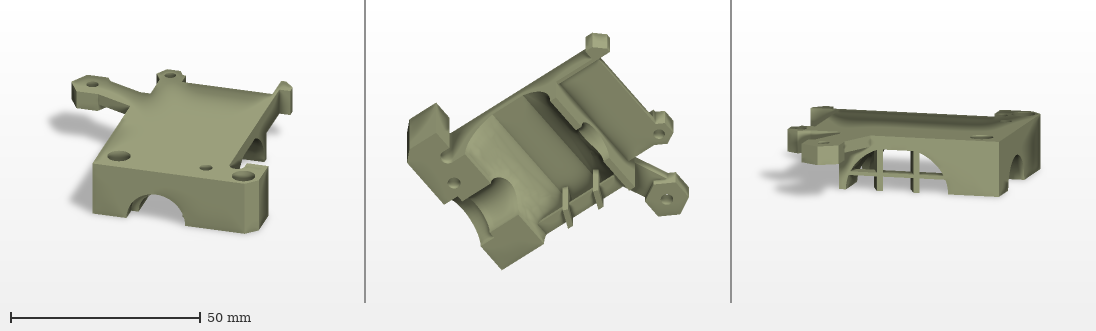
import cadquery as cq
import math

width = 35.0
length = 43.8
height = 14.8
mid_x = width / 2

bore_radius = 6.1
seat_radius = 8.1
seat_depth = 4.5

tunnel_y = 27.9
tunnel_half_width = 14.0
tunnel_half_height = 12.0
tunnel_flat_z = 11.2

slant = math.radians(23.0)
rib_thickness = 1.5
rib_reach = 5.5
rib_mouth_y = (21.8, 31.8)
shelf_y = 12.8
shelf_length = 30.0
shelf_depth = 4.0
shelf_z = 3.9
shelf_thickness = 1.0

ear_width = 10.0
ear_length = 11.8
ear_chamfer = 3.0
slot_width = 4.1
slot_end_y = 9.8

pocket_diameter = 6.2
pocket_depth = 3.0
pocket_centres = ((5.5, 6.2), (width + 5.4, 4.3))
block_hole_diameter = 3.4
block_hole_centre = (29.5, 6.2)

arm_length = 24.0
arm_width = 8.0
arm_thickness = 3.0
arm_corner = (-16.05, 42.0)
large_boss_centre = (-13.2, 44.55)
large_boss_radius = 5.85
large_boss_height = 5.0
large_boss_hole = 3.3

back_reach = 12.8
small_arm_x = 3.0
small_arm_width = 6.0
small_arm_height = 6.0
small_boss_centre = (5.0, 55.5)
small_boss_radius = 3.77
small_boss_hole = 3.0

ledge_x = 8.0
ledge_height = 6.0
ledge_slope = 3.9

latch_height = 7.1
strip_thickness = 1.0
strip_start_y = 41.7
strip_length = 18.0
hook_start_y = 55.7
hook_end_y = 60.8
hook_width = 4.0
hook_tip_width = 1.3
hook_flank_length = 2.3


def box(x, y, z, dx, dy, dz):
    return cq.Workplane("XY").box(dx, dy, dz, centered=False).translate((x, y, z))


def hanging(points, depth):
    """Prism with the given plan outline, reaching down from the top face."""
    return cq.Workplane("XY").workplane(offset=height).polyline(points).close().extrude(-depth)


def hole(centre, diameter, depth=height):
    """Cylinder reaching down from the top face."""
    return (
        cq.Workplane("XY").workplane(offset=height).center(*centre).circle(diameter / 2).extrude(-depth)
    )


def hexagon_boss(centre, radius, depth):
    """Hexagonal prism with corners on the X axis, flush with the top face."""
    return (
        cq.Workplane("XY").workplane(offset=height).center(*centre)
        .polygon(6, 2 * radius).extrude(-depth)
    )


def bore_cut(radius, depth):
    return cq.Workplane("XZ").center(mid_x, 0).circle(radius).extrude(-depth)


def tunnel_cut():
    arch = (
        cq.Workplane("YZ").center(tunnel_y, 0)
        .ellipse(tunnel_half_width, tunnel_half_height).extrude(width)
    )
    crown_limit = box(0, 0, 0, width, length, tunnel_flat_z)
    return arch.intersect(crown_limit)


def rib(start_y):
    """Full-height slanted rib starting flush with the -X face, its end square to its sides."""
    far_start_y = start_y + rib_thickness / math.cos(slant)
    end_dx = rib_thickness * math.sin(slant)
    end_dy = rib_thickness * math.cos(slant)
    end_y = start_y + rib_reach * math.tan(slant)
    return hanging(
        [(0, start_y), (rib_reach, end_y), (rib_reach - end_dx, end_y + end_dy), (0, far_start_y)],
        height,
    )


def ear():
    right = width + ear_width
    body = hanging(
        [
            (width, 0),
            (right - ear_chamfer, 0),
            (right, ear_chamfer),
            (right, ear_length),
            (width, ear_length),
        ],
        height,
    )
    slot_x = width + slot_width / 2
    slot = hole((slot_x, slot_end_y), slot_width).union(
        box(width, slot_end_y, 0, slot_width, ear_length - slot_end_y, height)
    )
    return body.cut(slot)


def slanted_arm():
    arm = box(0, 0, height - arm_thickness, arm_length, arm_width, arm_thickness)
    return arm.rotate((0, 0, 0), (0, 0, 1), -math.degrees(slant)).translate((*arm_corner, 0))


def ledge():
    """Plate behind the block, its top rear edge cut away at 45 degrees."""
    end = length + back_reach
    profile = [
        (length, height - ledge_height),
        (end, height - ledge_height),
        (end, height - ledge_slope),
        (end - ledge_slope, height),
        (length, height),
    ]
    return cq.Workplane("YZ").workplane(offset=ledge_x).polyline(profile).close().extrude(width - ledge_x)


def latch():
    inner_x = width - strip_thickness
    strip = box(inner_x, strip_start_y, height - latch_height, strip_thickness, strip_length, latch_height)
    hook = hanging(
        [
            (inner_x, hook_start_y),
            (inner_x + hook_width, hook_start_y),
            (inner_x + hook_width, hook_start_y + hook_flank_length),
            (inner_x + hook_tip_width, hook_end_y),
            (inner_x, hook_end_y),
        ],
        latch_height,
    )
    return strip.union(hook)


def small_arm():
    bottom_z = height - small_arm_height
    return box(small_arm_x, length, bottom_z, small_arm_width, back_reach, small_arm_height)


def shelf():
    return box(0, shelf_y, shelf_z, shelf_depth, shelf_length, shelf_thickness)


result = box(0, 0, 0, width, length, height).cut(tunnel_cut())
result = result.cut(bore_cut(bore_radius, length)).cut(bore_cut(seat_radius, seat_depth))

for mouth_y in rib_mouth_y:
    result = result.union(rib(mouth_y))
result = result.union(shelf()).union(ear()).union(ledge()).union(latch())
result = result.union(slanted_arm()).union(small_arm())
result = result.union(hexagon_boss(large_boss_centre, large_boss_radius, large_boss_height))
result = result.union(hexagon_boss(small_boss_centre, small_boss_radius, small_arm_height))

for centre in pocket_centres:
    result = result.cut(hole(centre, pocket_diameter, pocket_depth))
result = result.cut(hole(block_hole_centre, block_hole_diameter))
result = result.cut(hole(large_boss_centre, large_boss_hole))
result = result.cut(hole(small_boss_centre, small_boss_hole))